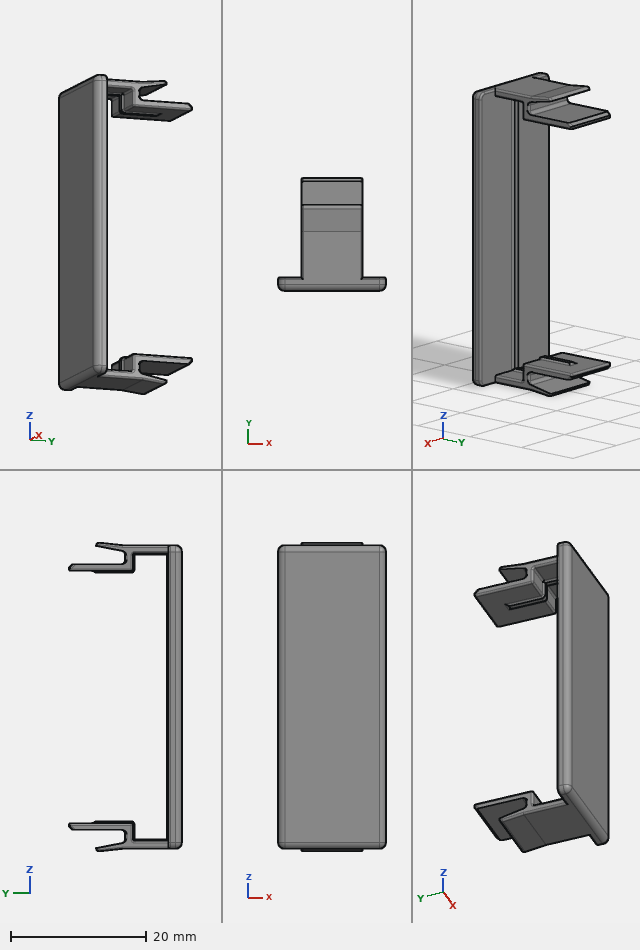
import cadquery as cq
import math

plate_width = 16.0
plate_height = 45.0
plate_thickness = 2.0
plate_round = 1.0
edge_round = 0.295

clip_width = 9.1
clip_depth = 16.75
clip_top = plate_height / 2
arm_thickness = 1.2
web_front = 7.25
web_thickness = 1.2
slot_corner_round = 0.55
blade_thickness = 1.0
blade_drop = 2.85
blade_chamfer = 0.5
prong_start = 8.8
prong_length = 3.9
prong_angle = 6.2
prong_inner_angle = 11.0
prong_tip_thickness = 0.55
prong_tip_round = 0.5

rib_height = 0.25
rib_top_width = 0.8
rib_flare_radius = 0.5
rib_end = 13.35
rib_end_radius = 0.75
rib_embed = 0.15

arm_bottom = clip_top - arm_thickness
web_back = web_front + web_thickness
blade_top = clip_top - blade_drop
blade_bottom = blade_top - blade_thickness
clip_root = plate_thickness - edge_round
half_width = clip_width / 2
spare_width = 0.9


def make_plate():
    plate = cq.Workplane("XY").box(plate_width, plate_thickness, plate_height)
    plate = plate.translate((0, plate_thickness / 2, 0))
    plate = plate.edges("|Y").fillet(plate_round)
    plate = plate.faces("<Y").edges().fillet(plate_round)
    return plate.faces(">Y").edges().fillet(edge_round)


tilt = math.radians(prong_angle)
inner_slope = math.tan(math.radians(prong_inner_angle))
tip_y = prong_start + prong_length * math.cos(tilt)
tip_z = clip_top + prong_length * math.sin(tilt)
inner_tip_y = tip_y + prong_tip_thickness * math.sin(tilt)
inner_tip_z = tip_z - prong_tip_thickness * math.cos(tilt)


def slot_top(y):
    """Height of the prong's inner face at depth y."""
    return inner_tip_z - (inner_tip_y - y) * inner_slope


def box_between(x_size, y_range, z_range):
    """Box centred on X that spans the given Y and Z ranges."""
    box = cq.Workplane("XY").box(
        x_size, y_range[1] - y_range[0], z_range[1] - z_range[0], centered=(True, False, False)
    )
    return box.translate((0, y_range[0], z_range[0]))


def fillet_at(body, points, radius):
    """Fillet the edges of the body whose centres are nearest to the points."""
    edges = [body.edges(cq.selectors.NearestToPointSelector(point)).val() for point in points]
    return body.newObject(edges).fillet(radius)


def make_clip_blank():
    """Arm, web, blade and prong of the upper clip, with only the slot end rounded."""
    wide = half_width + spare_width
    prong_outline = [
        (clip_root, clip_top),
        (prong_start, clip_top),
        (tip_y, tip_z),
        (inner_tip_y, inner_tip_z),
        (clip_root, slot_top(clip_root)),
    ]
    blade_outline = [
        (clip_root, blade_top),
        (clip_depth - blade_chamfer, blade_top),
        (clip_depth, blade_top - blade_chamfer),
        (clip_depth, blade_bottom),
        (clip_root, blade_bottom),
    ]
    prong = cq.Workplane("YZ").polyline(prong_outline).close().extrude(wide, both=True)
    blade = cq.Workplane("YZ").polyline(blade_outline).close().extrude(wide, both=True)
    web = box_between(
        clip_width,
        (web_front, web_back),
        (blade_top - blade_thickness / 2, slot_top(web_back) + prong_tip_thickness / 2),
    )
    web = web.edges("|Z and >Y").fillet(edge_round)

    slot_corners = [(0, web_back, slot_top(web_back)), (0, web_back, blade_top)]
    blank = fillet_at(prong.union(blade).union(web), slot_corners, slot_corner_round)

    blank = blank.intersect(box_between(clip_width, (0, clip_depth), (0, plate_height)))
    blank = blank.cut(box_between(2 * wide, (0, web_front), (0, arm_bottom)))
    arm = box_between(clip_width, (clip_root, web_front + web_thickness / 2), (arm_bottom, clip_top))
    return blank.union(arm).clean()


def make_clip():
    """Upper clip with every edge rounded except those of the slot's flat faces."""
    side_edge_middles = [
        ((clip_root + prong_start) / 2, clip_top),
        ((prong_start + tip_y) / 2, (clip_top + tip_z) / 2),
        ((tip_y + inner_tip_y) / 2, (tip_z + inner_tip_z) / 2),
        ((clip_root + web_front) / 2, arm_bottom),
        (web_front, (arm_bottom + blade_bottom) / 2),
        ((web_front + clip_depth) / 2, blade_bottom),
        (clip_depth, (blade_top - blade_chamfer + blade_bottom) / 2),
        (clip_depth - blade_chamfer / 2, blade_top - blade_chamfer / 2),
    ]
    rounded = [(x, y, z) for x in (-half_width, half_width) for y, z in side_edge_middles]
    rounded += [(0, clip_depth, blade_bottom), (0, web_front, blade_bottom)]
    clip = fillet_at(make_clip_blank(), [(0, tip_y, tip_z)], prong_tip_round)
    clip = fillet_at(clip, [(0, web_front, arm_bottom)], edge_round)
    return fillet_at(clip, rounded, edge_round)


def make_rib():
    """Upper half of the rib: blade underside, web, arm underside, plate back."""
    flare = math.sqrt(rib_flare_radius**2 - (rib_flare_radius - rib_height)**2)
    half_top = rib_top_width / 2
    half_root = half_top + flare
    half_angle = math.asin(flare / rib_flare_radius) / 2
    mid_x = half_root - rib_flare_radius * math.sin(half_angle)
    mid_height = rib_flare_radius * (1 - math.cos(half_angle))

    path = (
        cq.Workplane("YZ")
        .moveTo(rib_end, blade_bottom)
        .lineTo(web_front + edge_round, blade_bottom)
        .radiusArc((web_front, blade_bottom + edge_round), edge_round)
        .lineTo(web_front, arm_bottom)
        .lineTo(plate_thickness, arm_bottom)
        .lineTo(plate_thickness, 0)
    )
    rib = (
        cq.Workplane("XZ", origin=(0, rib_end, blade_bottom))
        .moveTo(-half_root, rib_embed)
        .lineTo(-half_root, 0)
        .threePointArc((-mid_x, -mid_height), (-half_top, -rib_height))
        .lineTo(half_top, -rib_height)
        .threePointArc((mid_x, -mid_height), (half_root, 0))
        .lineTo(half_root, rib_embed)
        .close()
        .sweep(path, transition="right")
    )
    end_cut = (
        cq.Workplane("YZ")
        .center(rib_end, blade_bottom - rib_end_radius)
        .circle(rib_end_radius)
        .extrude(half_root, both=True)
    )
    return rib.cut(end_cut)


upper_half = make_clip().union(make_rib())
result = make_plate().union(upper_half).union(upper_half.mirror("XY"))